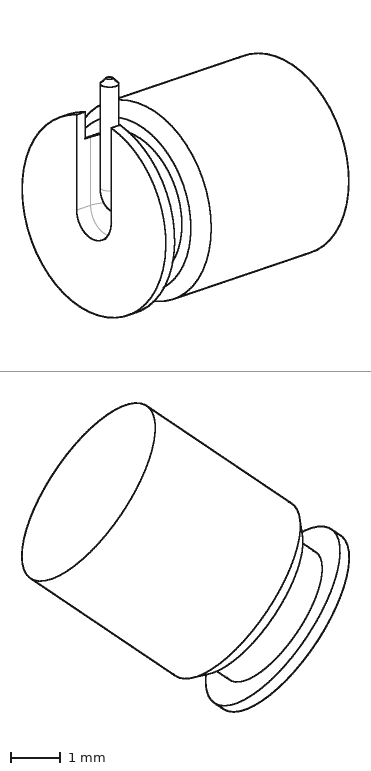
import cadquery as cq

total_length = 5.08
total_height = 4.98
flange_diameter = 4.22
flange_thickness = 0.245
neck_diameter = 3.105
barrel_diameter = 4.19
barrel_start = 0.97
barrel_face_diameter = 3.63
taper_length = 0.3

slot_width = 1.015
slot_radius = slot_width / 2
slot_axis_y = 0.38
slot_height = flange_diameter

pin_diameter = 0.38
pin_radius = pin_diameter / 2
pin_axis_y = 0.43
bend_radius = 0.51
pin_top = total_height - flange_diameter / 2
pin_tip_chamfer = 0.12


def make_slot():
    """Volume of the slot: straight front part, round rear wall, spherical bottom."""
    front = cq.Workplane("XY").box(
        slot_width, slot_axis_y, slot_height, centered=(True, False, False)
    )
    front_bottom = cq.Workplane("XZ").circle(slot_radius).extrude(-slot_axis_y)
    rear_wall = cq.Workplane("XY").center(0, slot_axis_y).circle(slot_radius).extrude(slot_height)
    rear_bottom = cq.Workplane("XY").sphere(slot_radius).translate((0, slot_axis_y, 0))
    return front.union(front_bottom).union(rear_wall).union(rear_bottom)


def make_pin():
    """Round wire with a quarter-circle bend and a chamfered upper end."""
    path = (
        cq.Workplane("YZ")
        .moveTo(pin_axis_y, pin_top)
        .lineTo(pin_axis_y, bend_radius)
        .radiusArc((pin_axis_y + bend_radius, 0), -bend_radius)
    )
    wire = cq.Workplane("XY", origin=(0, pin_axis_y, pin_top)).circle(pin_radius).sweep(path)
    return wire.faces(">Z").chamfer(pin_tip_chamfer)


def make_housing(pin):
    """Flange, neck and tapered barrel, with the slot and the seat of the pin."""
    half_profile = [
        (0, 0),
        (flange_diameter / 2, 0),
        (flange_diameter / 2, flange_thickness),
        (neck_diameter / 2, flange_thickness),
        (neck_diameter / 2, barrel_start),
        (barrel_face_diameter / 2, barrel_start),
        (barrel_diameter / 2, barrel_start + taper_length),
        (barrel_diameter / 2, total_length),
        (0, total_length),
    ]
    turned = cq.Workplane("XY").polyline(half_profile).close().revolve(360, (0, 0, 0), (0, 1, 0))
    return turned.cut(make_slot()).cut(pin)


pin = make_pin()
housing = make_housing(pin)
result = cq.Compound.makeCompound([housing.solids().val(), pin.solids().val()])